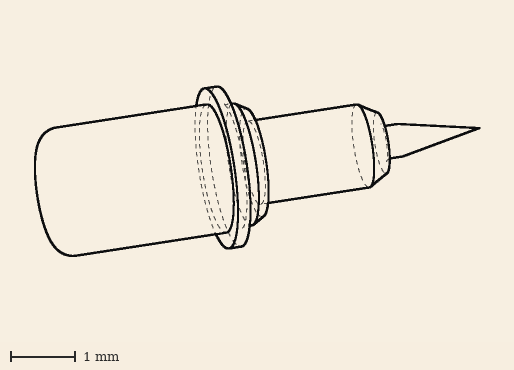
import cadquery as cq
import math

flange_radius = 1.25
body_radius = 1.0
collar_radius = 0.95
stem_radius = 0.65
needle_radius = 0.255

flange_rear = 2.7
flange_front = 2.9
collar_front = 3.3
stem_front = 5.335
cone_start = 5.63
tip = 6.9

rear_round = 0.3
root_fillet = 0.1
collar_bevel_length = 0.185
stem_bevel_length = 0.3
bevel_angle = math.radians(30)
collar_bevel_depth = collar_bevel_length * math.tan(bevel_angle)
stem_bevel_depth = stem_bevel_length * math.tan(bevel_angle)


def convex_round(profile, side_radius, radius):
    """Round from the rear face (y = 0) out to a cylinder."""
    return profile.radiusArc((side_radius, radius), -radius)


def concave_fillet(profile, side_radius, face_y, radius):
    """Fillet from a flat face up onto the cylinder standing on it."""
    return profile.lineTo(side_radius + radius, face_y).radiusArc((side_radius, face_y + radius), radius)


profile = cq.Workplane("XY").lineTo(body_radius - rear_round, 0)
profile = convex_round(profile, body_radius, rear_round)

profile = (
    profile.lineTo(body_radius, flange_rear)
    .lineTo(flange_radius, flange_rear)
    .lineTo(flange_radius, flange_front)
)

profile = concave_fillet(profile, collar_radius, flange_front, root_fillet)
profile = (
    profile.lineTo(collar_radius, collar_front - collar_bevel_length)
    .lineTo(collar_radius - collar_bevel_depth, collar_front)
)

profile = (
    profile.lineTo(stem_radius, collar_front)
    .lineTo(stem_radius, stem_front - stem_bevel_length)
    .lineTo(stem_radius - stem_bevel_depth, stem_front)
)

profile = concave_fillet(profile, needle_radius, stem_front, root_fillet)
profile = profile.lineTo(needle_radius, cone_start).lineTo(0, tip).close()

result = profile.revolve(360, (0, 0, 0), (0, 1, 0))